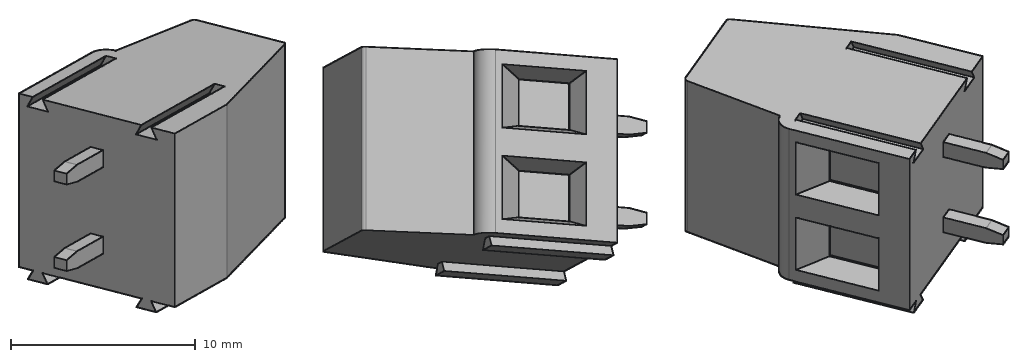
import cadquery as cq


width = 10.2
depth = 14.08
rail_height = 0.58
height = 10.75 - rail_height
half_width = width / 2
shoulder_radius = 0.92
shoulder_start = 7.1
back_left = -3.19
back_right = 2.85
slope_start = 5.0
back_fillet = 0.23

pitch = 5.07
contact_heights = [height / 2 - pitch / 2, height / 2 + pitch / 2]
pin_length = 17.6 - depth
pin_width = 0.81
pin_height = 1.0
pin_tip_height = 0.63
pin_tip_length = 1.02

entry_front, entry_back = 1.81, 6.69
floor_front, floor_back = 2.29, 5.25
entry_height = 3.52
floor_height = 2.59
funnel_depth = 1.27
pocket_depth = 0.12

dovetail_positions = [-3.87, 3.24]
dovetail_length = shoulder_start
rail_neck, rail_base = 0.62, 1.3
groove_neck, groove_base = 0.65, 1.35
groove_depth = 0.63


def make_housing():
    """Extruded plan outline with a rounded shoulder and a tapering back."""
    shoulder_x = -half_width + shoulder_radius
    shoulder_y = shoulder_start + shoulder_radius
    outline = (
        cq.Workplane("XY")
        .moveTo(-half_width, 0)
        .lineTo(half_width, 0)
        .lineTo(half_width, slope_start)
        .lineTo(back_right, depth)
        .lineTo(back_left, depth)
        .lineTo(shoulder_x, shoulder_y)
        .radiusArc((-half_width, shoulder_start), -shoulder_radius)
        .close()
    )
    return outline.extrude(height).faces(">Y").edges("|Z").fillet(back_fillet)


def make_dovetail(x, z_neck, size, neck, base):
    """Dovetail bar along Y that widens downward from its neck."""
    return (
        cq.Workplane("XZ", origin=(x, 0, z_neck))
        .polyline([(-neck / 2, 0), (neck / 2, 0), (base / 2, -size), (-base / 2, -size)])
        .close()
        .extrude(-dovetail_length)
    )


def make_pin(z):
    """Flat pin whose upper and lower faces taper at the tip."""
    taper_y = pin_tip_length - pin_length
    profile = [
        (0, pin_height / 2),
        (taper_y, pin_height / 2),
        (-pin_length, pin_tip_height / 2),
        (-pin_length, -pin_tip_height / 2),
        (taper_y, -pin_height / 2),
        (0, -pin_height / 2),
    ]
    return (
        cq.Workplane("YZ", origin=(0, 0, z))
        .polyline(profile)
        .close()
        .extrude(pin_width / 2, both=True)
    )


def make_wire_entry(z):
    """Cutting body of one wire entry, sunk from the left side."""
    mouth_y = (entry_front + entry_back) / 2
    floor_y = (floor_front + floor_back) / 2
    floor_length = floor_back - floor_front
    funnel = (
        cq.Workplane("YZ", origin=(-half_width, mouth_y, z))
        .rect(entry_back - entry_front, entry_height)
        .workplane(offset=funnel_depth)
        .center(floor_y - mouth_y, 0)
        .rect(floor_length, floor_height)
        .loft(ruled=True)
    )
    pocket = (
        cq.Workplane("YZ", origin=(-half_width + funnel_depth, floor_y, z))
        .rect(floor_length, floor_height)
        .extrude(pocket_depth)
    )
    return funnel.union(pocket)


result = make_housing()
for x in dovetail_positions:
    result = result.union(make_dovetail(x, 0, rail_height, rail_neck, rail_base))
    result = result.cut(make_dovetail(x, height, groove_depth, groove_neck, groove_base))
for z in contact_heights:
    result = result.union(make_pin(z))
    result = result.cut(make_wire_entry(z))